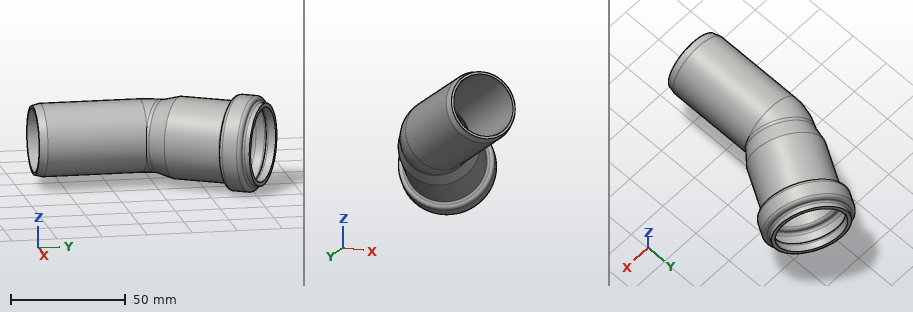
import cadquery as cq
import math

bend_angle = 30.0
spigot_radius = 32.2 / 2
bore_radius = 28.2 / 2
spigot_length = 47.9
tip_length = 3.6
tip_radius = 15.2
bend_radius = 14.1

wall = 1.8
socket_radius = 36.3 / 2
rim_radius = 36.6 / 2
collar_radius = 42.4 / 2

cone_start = 1.6
cone_end = 9.5
collar_start = 35.5
collar_end = 45.8
socket_length = 48.8

collar_fillet = 1.8
root_fillet = 0.9
groove_fillet = 1.4
overlap = 0.5

bend_plane = cq.Workplane("XZ", origin=(0, spigot_length, 0))


def turned(points):
    """Solid turned about Y from (radius, station) points, closed along the axis."""
    outline = [(0, points[0][1])] + points + [(0, points[-1][1])]
    return cq.Workplane("XY").polyline(outline).close().revolve(360, (0, 0), (0, 1))


def rounded(body, radius, low, high, edge_radius):
    """Round the circular edges of one radius between two stations along Y."""
    reach = radius + overlap
    box = cq.selectors.BoxSelector((-reach, low, -reach), (reach, high, reach))
    circles = body.edges("%CIRCLE").edges(box)
    edges = circles.filter(lambda edge: math.isclose(edge.radius(), radius))
    return edges.fillet(edge_radius)


def placed_after_bend(body):
    """Move a body from the socket frame at the origin to the outlet of the bend."""
    at_bend = body.translate((0, spigot_length, 0))
    return at_bend.rotate(
        (bend_radius, spigot_length, 0), (bend_radius, spigot_length, 1), -bend_angle
    )


def bend(section):
    """Sweep a section at the spigot's inner end around the bend centre."""
    return section.revolve(bend_angle, (bend_radius, 1.1), (bend_radius, 0))


def bend_outside():
    """Bent bar whose section stops at the bend axis, so that the sweep does not cross itself."""
    half_chord = math.sqrt(spigot_radius**2 - bend_radius**2)
    section = bend_plane.moveTo(bend_radius, half_chord)
    section = section.threePointArc((-spigot_radius, 0), (bend_radius, -half_chord))
    return bend(section.close())


def socket_outside():
    body = turned([
        (spigot_radius, 0),
        (spigot_radius, cone_start),
        (socket_radius, cone_end),
        (socket_radius, collar_start),
        (collar_radius, collar_start),
        (collar_radius, collar_end),
        (rim_radius, collar_end),
        (rim_radius, socket_length),
    ])
    collar_search_start = collar_start - overlap
    body = rounded(body, collar_radius, collar_search_start, collar_end + overlap, collar_fillet)
    body = rounded(body, socket_radius, collar_search_start, collar_start + overlap, root_fillet)
    return rounded(body, rim_radius, collar_end - overlap, collar_end + overlap, root_fillet)


def socket_inside():
    groove_radius = collar_radius - wall
    groove_start = collar_start + wall
    groove_end = collar_end - wall
    body = turned([
        (bore_radius, 0),
        (bore_radius, cone_start),
        (socket_radius - wall, cone_end),
        (socket_radius - wall, groove_start),
        (groove_radius, groove_start),
        (groove_radius, groove_end),
        (rim_radius - wall, groove_end),
        (rim_radius - wall, socket_length + overlap),
    ])
    for radius in (groove_radius, socket_radius - wall, rim_radius - wall):
        body = rounded(body, radius, groove_start - overlap, groove_end + overlap, groove_fillet)
    return body


spigot_outside = turned([(tip_radius, 0), (spigot_radius, tip_length), (spigot_radius, spigot_length)])
spigot_inside = turned([(bore_radius, -overlap), (bore_radius, spigot_length)])

outside = spigot_outside.union(bend_outside()).union(placed_after_bend(socket_outside()))
inside = spigot_inside.union(bend(bend_plane.circle(bore_radius))).union(placed_after_bend(socket_inside()))

result = outside.cut(inside)